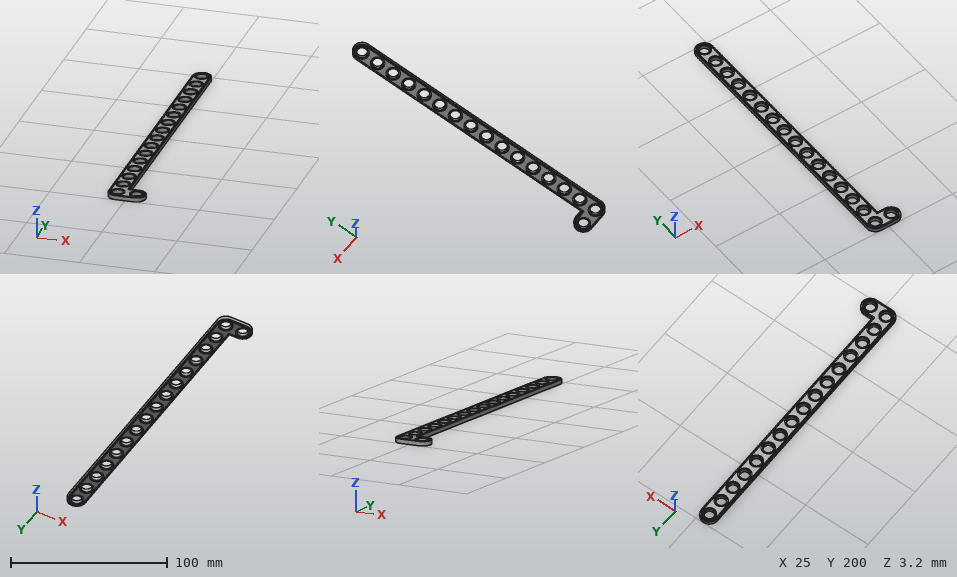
import cadquery as cq

LENGTH = 200.0
HOLES_LONG = 16
HOLES_SHORT = 2
THICKNESS = 3.2
HOLE_DIAMETER = 7.0
COLLAR_DIAMETER = 9.2
RIM_WIDTH = 1.1
RECESS_DEPTH = 0.25
EDGE_CHAMFER = 0.32

PITCH = LENGTH / HOLES_LONG
WIDTH = PITCH

long_leg = [(0, i * PITCH) for i in range(HOLES_LONG)]
short_leg = [(i * PITCH, 0) for i in range(1, HOLES_SHORT)]
hole_centres = long_leg + short_leg


def l_shape(width, height, base):
    """Two round-ended bars meeting at the corner hole, standing on the plane Z = base."""
    long_span = (HOLES_LONG - 1) * PITCH
    short_span = (HOLES_SHORT - 1) * PITCH
    plane = cq.Workplane("XY", origin=(0, 0, base))
    long_bar = plane.center(0, long_span / 2).slot2D(long_span + width, width, 90).extrude(height)
    short_bar = plane.center(short_span / 2, 0).slot2D(short_span + width, width).extrude(height)
    return long_bar.union(short_bar).clean()


def cylinders(diameter, height, base):
    """One upright cylinder at every hole centre."""
    plane = cq.Workplane("XY", origin=(0, 0, base))
    return plane.pushPoints(hole_centres).circle(diameter / 2).extrude(height)


plate = l_shape(WIDTH, THICKNESS, 0).cut(cylinders(HOLE_DIAMETER, THICKNESS, 0))
plate = plate.faces("<Z or >Z").edges().chamfer(EDGE_CHAMFER)

for recess_base in (0, THICKNESS - RECESS_DEPTH):
    recess = l_shape(WIDTH - 2 * RIM_WIDTH, RECESS_DEPTH, recess_base)
    collars = cylinders(COLLAR_DIAMETER, RECESS_DEPTH, recess_base)
    plate = plate.cut(recess.cut(collars))

result = plate